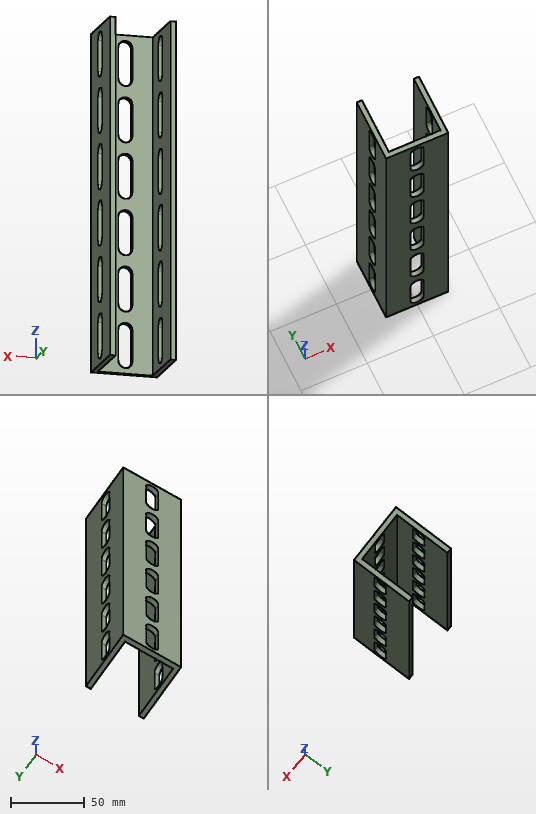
import cadquery as cq

width = 46.99
depth = 47.6
height = 240.0
wall = 4.0

slot_length = 32.0
slot_width = 10.0
slot_pitch = 40.0
slot_count = 6
flange_slot_offset = 22.6

cut_margin = 1.0


def make_channel():
    """U-shaped channel, open toward +Y, with its outer web face at Y = 0."""
    body = cq.Workplane("XY").box(width, depth, height, centered=(True, False, False))
    inner_depth = depth - wall + cut_margin
    space = (
        cq.Workplane("XY")
        .box(width - 2 * wall, inner_depth, height, centered=(True, False, False))
        .translate((0, wall, 0))
    )
    return body.cut(space)


def slot_centers(across):
    """Centres of a slot row, at a fixed position across and evenly spaced along Z."""
    first = (height - (slot_count - 1) * slot_pitch) / 2
    return [(across, first + i * slot_pitch) for i in range(slot_count)]


def make_web_slots():
    """Cutters through the web only, centred between the flanges."""
    return (
        cq.Workplane("XZ", origin=(0, -cut_margin, 0))
        .pushPoints(slot_centers(0))
        .slot2D(slot_length, slot_width, 90)
        .extrude(-(wall + 2 * cut_margin))
    )


def make_flange_slots():
    """Cutters running along X through both flanges."""
    return (
        cq.Workplane("YZ")
        .pushPoints(slot_centers(flange_slot_offset))
        .slot2D(slot_length, slot_width, 90)
        .extrude(width / 2 + cut_margin, both=True)
    )


result = make_channel().cut(make_web_slots()).cut(make_flange_slots())